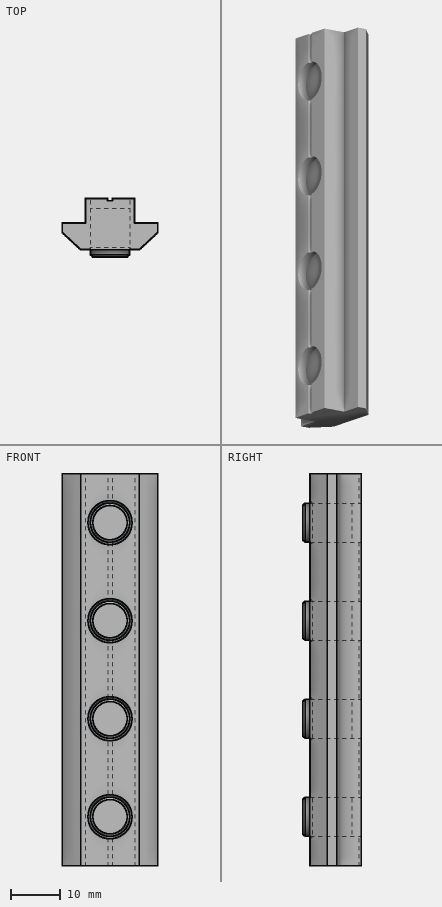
import cadquery as cq

bar_length = 80.0
flange_width = 19.5
flange_face_width = 12.0
flange_height = 5.5
flange_bevel_height = 3.5
neck_width = 10.0
neck_height = 5.0
bar_height = flange_height + neck_height

groove_width = 1.0
groove_depth = 0.5

screw_count = 4
screw_pitch = bar_length / screw_count
screw_diameter = 8.0
screw_length = 10.0
screw_protrusion = 1.5
screw_chamfer = 0.5

countersink_diameter = 9.0
countersink_depth = (countersink_diameter - screw_diameter) / 2

screw_heights = [(i + 0.5) * screw_pitch for i in range(screw_count)]


def make_cylinder_along_y(diameter, start_y, length, z):
    """Cylinder on the bar's centre line, running from start_y toward +Y."""
    plane = cq.Plane(origin=(0, start_y, z), xDir=(1, 0, 0), normal=(0, 1, 0))
    return cq.Workplane(plane).circle(diameter / 2).extrude(length)


def make_bar_profile():
    """Half of the T outline, mirrored about the centre plane."""
    half_outline = [
        (0, 0),
        (flange_face_width / 2, 0),
        (flange_width / 2, flange_bevel_height),
        (flange_width / 2, flange_height),
        (neck_width / 2, flange_height),
        (neck_width / 2, bar_height),
        (groove_width / 2, bar_height),
        (groove_width / 2, bar_height - groove_depth),
        (0, bar_height - groove_depth),
    ]
    return cq.Workplane("XY").polyline(half_outline).mirrorY()


def make_countersunk_hole(z):
    """Cutting tool for one screw hole, with its cone opening at the flange face."""
    hole = make_cylinder_along_y(screw_diameter, 0, bar_height, z)
    cone = cq.Solid.makeCone(
        countersink_diameter / 2,
        screw_diameter / 2,
        countersink_depth,
        pnt=cq.Vector(0, 0, z),
        dir=cq.Vector(0, 1, 0),
    )
    return hole.union(cq.Workplane(cone))


def make_bar():
    body = make_bar_profile().extrude(bar_length)
    for z in screw_heights:
        body = body.cut(make_countersunk_hole(z))
    return body


def make_set_screw(z):
    """Set screw with a chamfered outer end."""
    screw = make_cylinder_along_y(screw_diameter, -screw_protrusion, screw_length, z)
    return screw.faces("<Y").chamfer(screw_chamfer)


bar = make_bar()
set_screws = [make_set_screw(z) for z in screw_heights]

result = cq.Compound.makeCompound([bar.val(), *[screw.val() for screw in set_screws]])